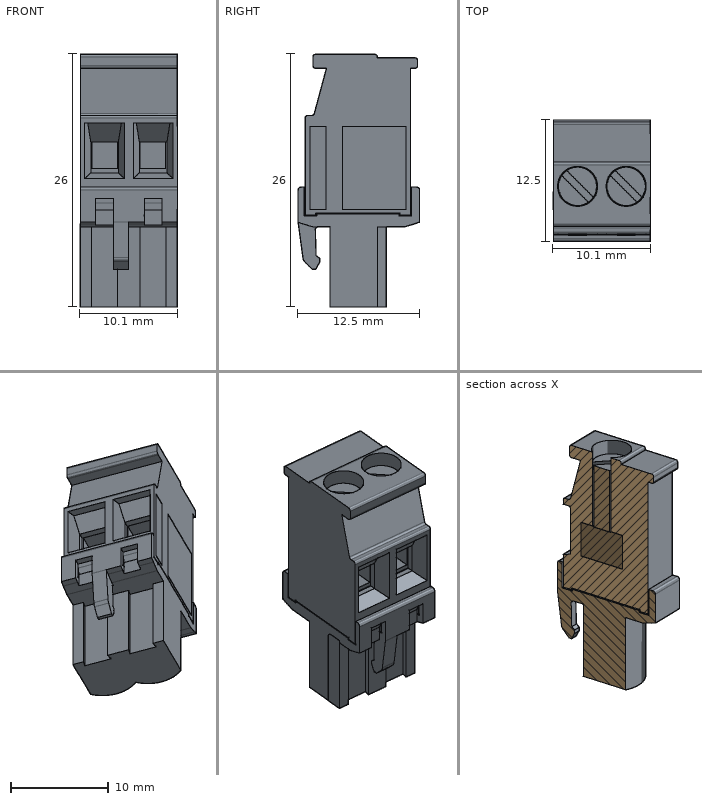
import cadquery as cq


width = 10.0
depth = 12.52
height = 26.03
pitch = width / 2
pole_x = [-pitch / 2, pitch / 2]
gap = 0.08

upper_front = 0.73
upper_back = 11.58
upper_foot = 9.47
foot_recess = 0.2
recess_front, recess_back = 1.85, 10.5
ledge_z = 19.73
ledge_back = 1.61
ledge_round = 0.25
lip_front, lip_back = 1.54, 12.3
lip_bottom = 24.57
lip_round = 0.29
slope_top = 2.92
step_y = 8.17
step_drop = 0.36

entry_width, throat_width = 4.09, 2.85
entry_bottom, entry_top = 13.22, 18.95
throat_bottom, throat_top = 13.82, 17.0
funnel_depth = 1.67
roof_flat = funnel_depth / 2
throat_depth = 0.68

clamp_front = upper_front + funnel_depth + throat_depth
clamp_opening_width = 2.63
clamp_opening_bottom, clamp_opening_top = 14.26, throat_top
clamp_wall = 0.52
clamp_pitch = 4.92
clamp_x = [-clamp_pitch / 2, clamp_pitch / 2]
clamp_width = clamp_opening_width + 2 * clamp_wall
clamp_bottom = clamp_opening_bottom - clamp_wall
clamp_top = clamp_opening_top + clamp_wall

screw_y = 5.67
clamp_back = 2 * screw_y - clamp_front
screw_diameter = 3.95
screw_hole_diameter = 4.1
screw_top = height - 1.5
slot_width, slot_depth = 0.73, 0.52
slot_angle = -45

tray_top = 12.36
tray_round = 0.3
tray_bottom = 8.25
tray_corner_z = 8.75
bevel_run, bevel_middle_run = 1.55, 0.52
bevel_middle_z = 8.56
plug_front = 3.28
plug_back = 8.2
scallop_rise = 0.9
groove_width, groove_depth = 2.68, 0.62
groove_flare = 0.1
pad_back, pad_top = 5.1, 8.55
pad_round = 0.47
pad_thickness = 0.03

notch_width = 1.82
notch_top = 11.2
notch_slope_top, notch_slope_bottom = 10.72, 10.0
notch_depth = 0.95
tab_thickness = 0.4
tab_back = notch_depth + tab_thickness

latch_width = 1.55
latch_x = pole_x[0] + notch_width / 2 + latch_width / 2
latch_inner = 1.8
latch_root = 0.18
tip_bottom, tip_round_end, tip_round_middle, tip_round_start = 3.88, 4.69, 4.87, 5.1
tip_front_start, tip_front_middle, tip_front_end = 0.5, 0.55, 0.68
tip_flat_back = 1.82
tip_bevel = tip_round_end - tip_bottom
hook_back = 2.25
hook_bottom, hook_top, hook_neck = 4.63, 5.02, 5.3
hook_neck_y = 1.87

label_thickness = 0.03
label_bottom, label_top = 10.07, 18.6
labels_y = [(1.22, 2.86), (4.55, 11.1)]


def extrude_x(outline, length, center_x=0.0):
    """Extrude a closed YZ outline along X, centred on center_x."""
    return outline.extrude(length / 2, both=True).translate((center_x, 0, 0))


def box(x_range, y_range, z_range):
    """Axis-aligned box between three pairs of limits."""
    corners = list(zip(x_range, y_range, z_range))
    size = [high - low for low, high in zip(*corners)]
    return cq.Workplane("XY").box(*size, centered=False).translate(corners[0])


def pole_range(center, size):
    """Limits of a feature of the given size about its centre."""
    return (center - size / 2, center + size / 2)


def screw_hole(x):
    return (
        cq.Workplane("XY", origin=(x, screw_y, clamp_top))
        .circle(screw_hole_diameter / 2)
        .extrude(height - clamp_top)
    )


def clamp_block(x):
    return box(pole_range(x, clamp_width), (clamp_front, clamp_back), (clamp_bottom, clamp_top))


def wire_entry(x):
    """Funnel with a partly level roof, followed by the straight throat up to the clamp."""
    throat_y = upper_front + funnel_depth
    side_walls = (
        cq.Workplane("XY", origin=(x, 0, entry_bottom))
        .polyline([
            (-entry_width / 2, upper_front),
            (entry_width / 2, upper_front),
            (throat_width / 2, throat_y),
            (-throat_width / 2, throat_y),
        ])
        .close()
        .extrude(entry_top - entry_bottom)
    )
    floor_and_roof = (
        cq.Workplane("YZ")
        .polyline([
            (upper_front, entry_bottom),
            (throat_y, throat_bottom),
            (throat_y, throat_top),
            (upper_front + roof_flat, entry_top),
            (upper_front, entry_top),
        ])
        .close()
    )
    funnel = side_walls.intersect(extrude_x(floor_and_roof, entry_width, x))
    throat = box(pole_range(x, throat_width), (throat_y, clamp_front), (throat_bottom, throat_top))
    return funnel.union(throat)


def tab_pocket(x):
    """Pocket in the foot for a tray tab, with a slope from the tab's top out to the front."""
    outline = (
        cq.Workplane("YZ")
        .polyline([
            (upper_front, upper_foot),
            (upper_front, notch_slope_top),
            (notch_depth, notch_slope_bottom),
            (tab_back, notch_slope_bottom),
            (tab_back, upper_foot),
        ])
        .close()
    )
    return extrude_x(outline, notch_width, x)


def round_edges(solid, places, radius):
    """Fillet the edges along X that pass nearest to the given (Y, Z) places."""
    for y, z in places:
        solid = solid.edges(cq.NearestToPointSelector((0, y, z))).fillet(radius)
    return solid


def make_upper_housing():
    """Terminal housing with wire entries, screw holes and the clamps' chambers."""
    outline = (
        cq.Workplane("YZ")
        .moveTo(upper_front, upper_foot)
        .lineTo(upper_front, ledge_z)
        .lineTo(ledge_back, ledge_z)
        .lineTo(slope_top, lip_bottom)
        .lineTo(lip_front, lip_bottom)
        .lineTo(lip_front, height)
        .lineTo(step_y, height)
        .lineTo(step_y, height - step_drop)
        .lineTo(lip_back, height - step_drop)
        .lineTo(lip_back, lip_bottom)
        .lineTo(upper_back, lip_bottom)
        .lineTo(upper_back, upper_foot)
        .lineTo(recess_back, upper_foot)
        .lineTo(recess_back, upper_foot + foot_recess)
        .lineTo(recess_front, upper_foot + foot_recess)
        .lineTo(recess_front, upper_foot)
        .close()
    )
    body = extrude_x(outline, width)

    lip_corners = [
        (lip_front, lip_bottom),
        (lip_front, height),
        (step_y, height),
        (lip_back, height - step_drop),
        (lip_back, lip_bottom),
    ]
    ledge_corners = [(upper_front, ledge_z), (ledge_back, ledge_z)]
    body = round_edges(body, lip_corners, lip_round)
    body = round_edges(body, ledge_corners, ledge_round)

    for x in pole_x:
        body = body.cut(wire_entry(x)).cut(screw_hole(x)).cut(tab_pocket(x))
    for x in clamp_x:
        body = body.cut(clamp_block(x))
    for y_range in labels_y:
        label = box((width / 2, width / 2 + label_thickness), y_range, (label_bottom, label_top))
        body = body.union(label)
    return body


def make_tray():
    """U-shaped tray with rounded rims and bevelled edges on its underside."""
    floor = upper_foot - gap
    outline = (
        cq.Workplane("YZ")
        .moveTo(bevel_run, tray_bottom)
        .lineTo(depth - bevel_run, tray_bottom)
        .lineTo(depth - bevel_middle_run, bevel_middle_z)
        .lineTo(depth, tray_corner_z)
        .lineTo(depth, tray_top - tray_round)
        .radiusArc((depth - tray_round, tray_top), -tray_round)
        .lineTo(upper_back + gap, tray_top)
        .lineTo(upper_back + gap, floor)
        .lineTo(recess_back - gap, floor)
        .lineTo(recess_back - gap, floor + foot_recess)
        .lineTo(recess_front + gap, floor + foot_recess)
        .lineTo(recess_front + gap, floor)
        .lineTo(upper_front - gap, floor)
        .lineTo(upper_front - gap, tray_top)
        .lineTo(tray_round, tray_top)
        .radiusArc((0, tray_top - tray_round), -tray_round)
        .lineTo(0, tray_corner_z)
        .lineTo(bevel_middle_run, bevel_middle_z)
        .close()
    )
    return extrude_x(outline, width)


def make_plug():
    """Plug with a rounded back at each pole and a dovetail groove down the front of each pole."""
    outline = (
        cq.Workplane("XY")
        .moveTo(-width / 2, plug_front)
        .lineTo(width / 2, plug_front)
        .lineTo(width / 2, plug_back)
        .threePointArc((pole_x[1], plug_back + scallop_rise), (0, plug_back))
        .threePointArc((pole_x[0], plug_back + scallop_rise), (-width / 2, plug_back))
        .close()
    )
    plug = outline.extrude(tray_bottom)
    mouth = groove_width / 2
    root = mouth + groove_flare
    for x in pole_x:
        groove = (
            cq.Workplane("XY")
            .polyline([
                (x - mouth, plug_front),
                (x + mouth, plug_front),
                (x + root, plug_front + groove_depth),
                (x - root, plug_front + groove_depth),
            ])
            .close()
            .extrude(tray_bottom)
        )
        plug = plug.cut(groove)
    return plug


def make_pad():
    """Thin raised pad on the -X side of the plug, rounded at its upper back corner."""
    x_range = (-width / 2 - pad_thickness, -width / 2)
    pad = box(x_range, (plug_front, pad_back), (0, pad_top))
    return pad.edges("|X and >Y and >Z").fillet(pad_round)


def notch(x):
    """Window through the tray's front wall, open below."""
    return box(pole_range(x, notch_width), (0, notch_depth), (tray_bottom, notch_top))


def tab(x):
    """Tab that rises from the tray floor and forms the back of a notch."""
    z_range = (upper_foot - gap, notch_slope_bottom)
    return box(pole_range(x, notch_width), (notch_depth, tab_back), z_range)


def make_latch():
    """Hooked latch arm hanging from the tray's front edge."""
    outline = (
        cq.Workplane("YZ")
        .moveTo(0, tray_corner_z)
        .lineTo(tip_front_start, tip_round_start)
        .threePointArc((tip_front_middle, tip_round_middle), (tip_front_end, tip_round_end))
        .lineTo(tip_front_end + tip_bevel, tip_bottom)
        .lineTo(tip_flat_back, tip_bottom)
        .lineTo(hook_back, hook_bottom)
        .lineTo(hook_back, hook_top)
        .lineTo(hook_neck_y, hook_neck)
        .lineTo(latch_inner, tray_bottom - latch_root)
        .lineTo(latch_inner + latch_root, tray_bottom)
        .lineTo(latch_inner + latch_root, tray_corner_z)
        .close()
    )
    return extrude_x(outline, latch_width, latch_x)


def make_lower_housing():
    """Notched tray with its plug, pad and latch in one piece."""
    body = make_tray()
    for x in pole_x:
        body = body.cut(notch(x)).union(tab(x))
    return body.union(make_plug()).union(make_pad()).union(make_latch())


def make_clamp(x):
    """Wire clamp: a block with a rectangular opening from the front and a closed back."""
    opening = box(
        pole_range(x, clamp_opening_width),
        (clamp_front, clamp_back - clamp_wall),
        (clamp_opening_bottom, clamp_opening_top),
    )
    return clamp_block(x).cut(opening)


def make_screw(x):
    """Round screw standing on its clamp, with a diagonal driver slot."""
    screw = (
        cq.Workplane("XY", origin=(x, screw_y, clamp_top))
        .circle(screw_diameter / 2)
        .extrude(screw_top - clamp_top)
    )
    slot = (
        cq.Workplane("XY", origin=(x, screw_y, screw_top - slot_depth))
        .transformed(rotate=(0, 0, slot_angle))
        .rect(2 * screw_diameter, slot_width)
        .extrude(slot_depth)
    )
    return screw.cut(slot)


upper_housing = make_upper_housing()
lower_housing = make_lower_housing()
clamps = [make_clamp(x).val() for x in clamp_x]
screws = [make_screw(x).val() for x in pole_x]

result = cq.Compound.makeCompound([upper_housing.val(), lower_housing.val(), *clamps, *screws])